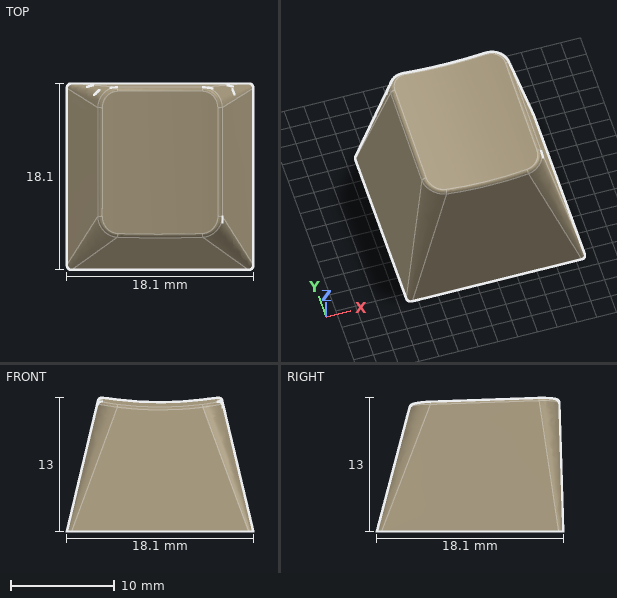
import cadquery as cq

base_size = 18.1
base_corner = 0.47
loft_height = 13.58
side_inset = 3.28
front_inset = 3.51
back_inset = 0.42
top_corner = 2.1

dish_radius = 32.95
dish_floor = 12.25
top_tilt = 2.0
rim_fillet = 0.38


def make_skirt():
    """Solid lofted from the base outline to the smaller, set-back top outline."""
    top_width = base_size - 2 * side_inset
    top_depth = base_size - front_inset - back_inset
    top_shift = (front_inset - back_inset) / 2
    top_place = cq.Location((0, top_shift, loft_height), (top_tilt, 0, 0))
    base = cq.Sketch().rect(base_size, base_size).vertices().fillet(base_corner)
    top = cq.Sketch().rect(top_width, top_depth).vertices().fillet(top_corner)
    return (
        cq.Workplane("XY")
        .placeSketch(base, top.moved(top_place))
        .loft(ruled=True)
    )


def make_dish_cutter():
    """Long tilted cylinder whose lowest line forms the dish floor."""
    cutter_length = 2 * base_size
    return (
        cq.Workplane("XZ")
        .circle(dish_radius)
        .extrude(cutter_length / 2, both=True)
        .translate((0, 0, dish_radius))
        .rotate((0, 0, 0), (1, 0, 0), top_tilt)
        .translate((0, 0, dish_floor))
    )


cap = make_skirt().cut(make_dish_cutter())
result = cap.faces(">Z").edges().fillet(rim_fillet)